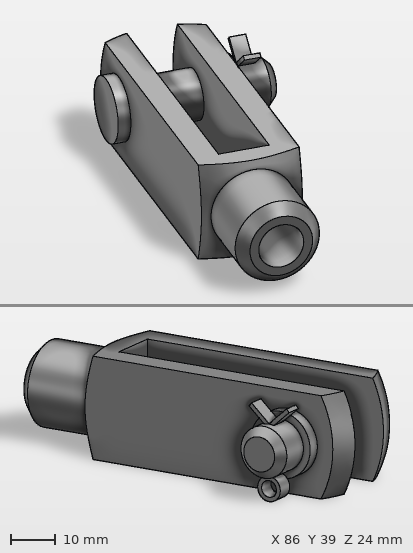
import cadquery as cq
import math

total_length = 86.0
body_width = 24.0
body_end_x = 67.9
slot_width = 12.0
slot_floor_x = 61.9
fork_dome_radius = 27.5
shoulder_cone_length = 2.9

shank_diameter = 20.0
shank_chamfer = 2.6
bore_diameter = 10.7

pin_x = 13.9
pin_diameter = 12.0
pin_tip_y = 24.0
pin_tip_chamfer = 2.0
head_diameter = 15.6
head_thickness = 3.0

strip_width = 3.95
strip_thickness = 1.0
split_pin_y = 17.9
leg_root_z = 6.1
leg_tip_z = 10.2
leg_angle = 42.0
loop_diameter = 5.9

half_width = body_width / 2
shank_radius = shank_diameter / 2


def along_y(diameter, start_y, end_y):
    """Cylinder on the clevis pin axis."""
    plane = cq.Workplane("XZ", origin=(pin_x, start_y, 0))
    return plane.circle(diameter / 2).extrude(start_y - end_y)


def make_body():
    corner_radius = half_width * math.sqrt(2)
    dome_center_x = math.sqrt(fork_dome_radius**2 - (slot_width / 2) ** 2)

    def dome_x(radius):
        return dome_center_x - math.sqrt(fork_dome_radius**2 - radius**2)

    turned_envelope = (
        cq.Workplane("XY")
        .moveTo(dome_x(0), 0)
        .threePointArc((dome_x(corner_radius / 2), corner_radius / 2), (dome_x(corner_radius), corner_radius))
        .lineTo(body_end_x - shoulder_cone_length, corner_radius)
        .lineTo(body_end_x, shank_radius)
        .lineTo(total_length - shank_chamfer, shank_radius)
        .lineTo(total_length, shank_radius - shank_chamfer)
        .lineTo(total_length, 0)
        .close()
        .revolve(360, (0, 0, 0), (1, 0, 0))
    )
    bar_start_x = dome_x(0)
    square_bar = cq.Workplane("XY").box(
        total_length - bar_start_x, body_width, body_width, centered=(False, True, True)
    ).translate((bar_start_x, 0, 0))
    slot = cq.Workplane("XY").box(
        slot_floor_x - bar_start_x, slot_width, body_width, centered=(False, True, True)
    ).translate((bar_start_x, 0, 0))
    bore = cq.Workplane("YZ").circle(bore_diameter / 2).extrude(total_length)
    return turned_envelope.intersect(square_bar).cut(slot).cut(bore)


def make_clevis_pin():
    head_y = half_width + head_thickness
    pin = along_y(pin_diameter, -head_y, pin_tip_y).faces(">Y").chamfer(pin_tip_chamfer)
    head = along_y(head_diameter, -head_y, -half_width)
    collar = along_y(head_diameter, half_width, head_y)
    return pin.union(head).union(collar)


def make_split_pin():
    angle = math.radians(leg_angle)
    leg_length = (leg_tip_z - leg_root_z) / math.sin(angle)
    loop_z = loop_diameter / 2 - half_width
    plane = cq.Workplane("XZ", origin=(pin_x, split_pin_y + strip_width / 2, 0))

    loop_radius = loop_diameter / 2
    loop = (
        plane.center(0, loop_z)
        .circle(loop_radius)
        .circle(loop_radius - strip_thickness)
        .extrude(strip_width)
    )
    stem_bottom_z = loop_z + loop_radius - strip_thickness
    stem_top_z = leg_root_z - strip_thickness
    stem = (
        plane.center(0, (stem_bottom_z + stem_top_z) / 2)
        .rect(2 * strip_thickness, stem_top_z - stem_bottom_z)
        .extrude(strip_width)
    )
    split_pin = loop.union(stem)

    for side in (-1, 1):
        along = (side * math.cos(angle) * leg_length, math.sin(angle) * leg_length)
        across = (side * math.sin(angle) * strip_thickness, -math.cos(angle) * strip_thickness)
        leg = (
            plane.moveTo(0, leg_root_z)
            .line(*along)
            .line(*across)
            .line(-along[0], -along[1])
            .close()
            .extrude(strip_width)
        )
        split_pin = split_pin.union(leg)
    return split_pin


result = make_body().union(make_clevis_pin()).union(make_split_pin())